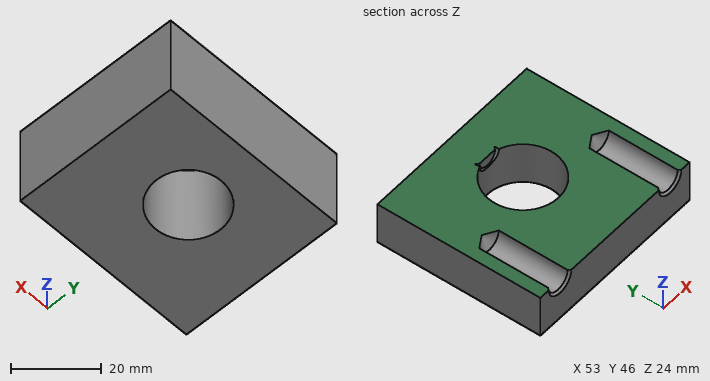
import cadquery as cq
import math

length = 53.0
depth = 46.0
height = 24.0
hole_z = height / 2

bore_diameter = 20.0
bore_to_back = 20.0
bore_x = length / 2
bore_y = depth - bore_to_back

thread_diameter = 8.0
core_diameter = 6.8
drill_point_angle = 118.0
countersink_angle = 90.0

front_hole_depth = 20.0
front_hole_spacing = 39.0

tip_diameter = 5.5
tip_chamfer_angle = 90.0


def front_hole_cutter():
    """Countersunk drilled hole along +Y, with its mouth centred on the origin."""
    core_radius = core_diameter / 2
    mouth_radius = thread_diameter / 2
    countersink_depth = (mouth_radius - core_radius) / math.tan(math.radians(countersink_angle / 2))
    point_length = core_radius / math.tan(math.radians(drill_point_angle / 2))
    profile = (
        cq.Workplane("XY")
        .lineTo(mouth_radius, 0)
        .lineTo(core_radius, countersink_depth)
        .lineTo(core_radius, front_hole_depth)
        .lineTo(0, front_hole_depth + point_length)
        .close()
    )
    return profile.revolve(360, (0, 0, 0), (0, 1, 0))


def screw_point_cutter():
    """Space around the screw point, from the bore axis back to the root of the chamfer."""
    core_radius = core_diameter / 2
    tip_radius = tip_diameter / 2
    chamfer_length = (core_radius - tip_radius) / math.tan(math.radians(tip_chamfer_angle / 2))
    tip_y = bore_diameter / 2
    profile = (
        cq.Workplane("XY")
        .lineTo(core_radius, 0)
        .lineTo(core_radius, tip_y + chamfer_length)
        .lineTo(tip_radius, tip_y)
        .lineTo(0, tip_y)
        .close()
    )
    return profile.revolve(360, (0, 0, 0), (0, 1, 0))


block = cq.Workplane("XY").box(length, depth, height, centered=False)
bore = cq.Workplane("XY").center(bore_x, bore_y).circle(bore_diameter / 2).extrude(height)
result = block.cut(bore)

for side in (-1, 1):
    hole_x = length / 2 + side * front_hole_spacing / 2
    result = result.cut(front_hole_cutter().translate((hole_x, 0, hole_z)))

result = result.cut(screw_point_cutter().translate((bore_x, bore_y, hole_z)))